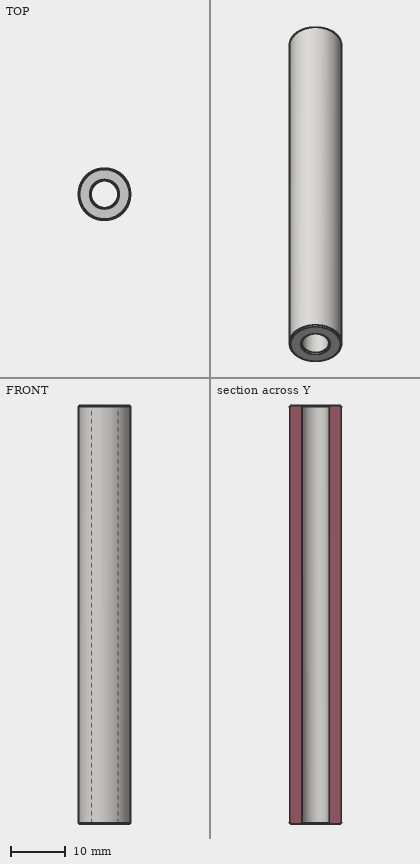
import cadquery as cq

length = 76.2
outer_diameter = 9.5
bore_diameter = 4.9
rim_chamfer = 0.25

body = (
    cq.Workplane("XY")
    .circle(outer_diameter / 2)
    .extrude(length)
    .faces("<Z or >Z")
    .chamfer(rim_chamfer)
)

bore = cq.Workplane("XY").circle(bore_diameter / 2).extrude(length)
mouth_radius = bore_diameter / 2 + rim_chamfer
lower_mouth = cq.Workplane(
    cq.Solid.makeCone(mouth_radius, bore_diameter / 2, rim_chamfer)
)
upper_mouth = lower_mouth.mirror("XY").translate((0, 0, length))

result = body.cut(bore).cut(lower_mouth).cut(upper_mouth)